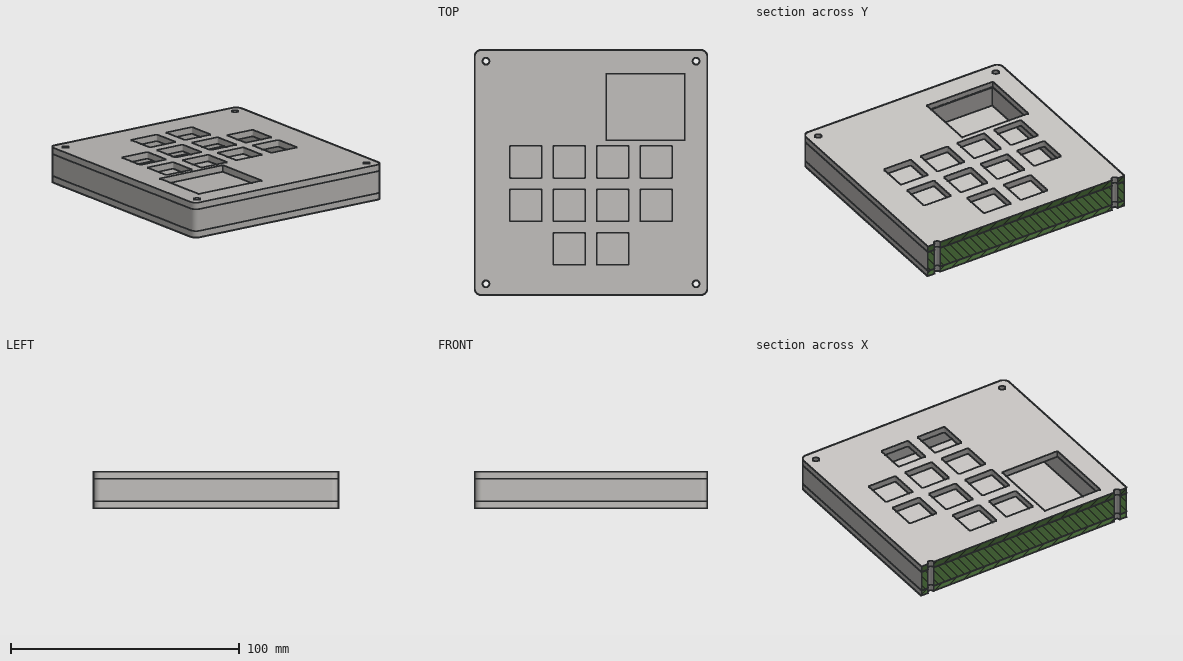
import cadquery as cq

CASE_WIDTH = 101.9
CASE_LENGTH = 107.4
CASE_HEIGHT = 16.0
CORNER_RADIUS = 3.0

PLATE_THICKNESS = 3.0
FRAME_HEIGHT = CASE_HEIGHT - 2 * PLATE_THICKNESS

WALL_THICKNESS = 10.0

SCREW_DIAMETER = 2.9
SCREW_INSET = WALL_THICKNESS / 2

KEY_SIZE = 14.1
KEY_PITCH = 19.0
KEY_CORNER_RADIUS = 0.5
KEYS_PER_ROW = [4, 4, 2]
FIRST_ROW_Y = 4.6

WINDOW_WIDTH = 34.3
WINDOW_LENGTH = 29.0
WINDOW_RIGHT = CASE_WIDTH / 2 - WALL_THICKNESS
WINDOW_TOP = 43.2


def make_layer(bottom, thickness):
    """Rounded rectangular layer with the four screw holes."""
    return (
        cq.Workplane("XY", origin=(0, 0, bottom))
        .rect(CASE_WIDTH, CASE_LENGTH)
        .extrude(thickness)
        .edges("|Z")
        .fillet(CORNER_RADIUS)
        .faces(">Z")
        .workplane()
        .rect(CASE_WIDTH - 2 * SCREW_INSET, CASE_LENGTH - 2 * SCREW_INSET, forConstruction=True)
        .vertices()
        .hole(SCREW_DIAMETER)
    )


def make_frame():
    """Middle layer: a ring of wall around an open cavity."""
    cavity = (
        cq.Workplane("XY", origin=(0, 0, PLATE_THICKNESS))
        .rect(CASE_WIDTH - 2 * WALL_THICKNESS, CASE_LENGTH - 2 * WALL_THICKNESS)
        .extrude(FRAME_HEIGHT)
    )
    return make_layer(PLATE_THICKNESS, FRAME_HEIGHT).cut(cavity)


def key_centers():
    """Centres of the key openings, row by row."""
    centers = []
    for row, count in enumerate(KEYS_PER_ROW):
        y = FIRST_ROW_Y - row * KEY_PITCH
        for column in range(count):
            x = (column - (count - 1) / 2) * KEY_PITCH
            centers.append((x, y))
    return centers


def make_top_plate():
    """Top layer with the display window and the key openings."""
    bottom = PLATE_THICKNESS + FRAME_HEIGHT
    window = (
        cq.Workplane("XY", origin=(0, 0, bottom))
        .center(WINDOW_RIGHT - WINDOW_WIDTH / 2, WINDOW_TOP - WINDOW_LENGTH / 2)
        .rect(WINDOW_WIDTH, WINDOW_LENGTH)
        .extrude(PLATE_THICKNESS)
    )
    keys = (
        cq.Workplane("XY", origin=(0, 0, bottom))
        .pushPoints(key_centers())
        .rect(KEY_SIZE, KEY_SIZE)
        .extrude(PLATE_THICKNESS)
        .edges("|Z")
        .fillet(KEY_CORNER_RADIUS)
    )
    return make_layer(bottom, PLATE_THICKNESS).cut(window).cut(keys)


base_plate = make_layer(0, PLATE_THICKNESS)
frame = make_frame()
top_plate = make_top_plate()

result = cq.Compound.makeCompound([base_plate.val(), frame.val(), top_plate.val()])